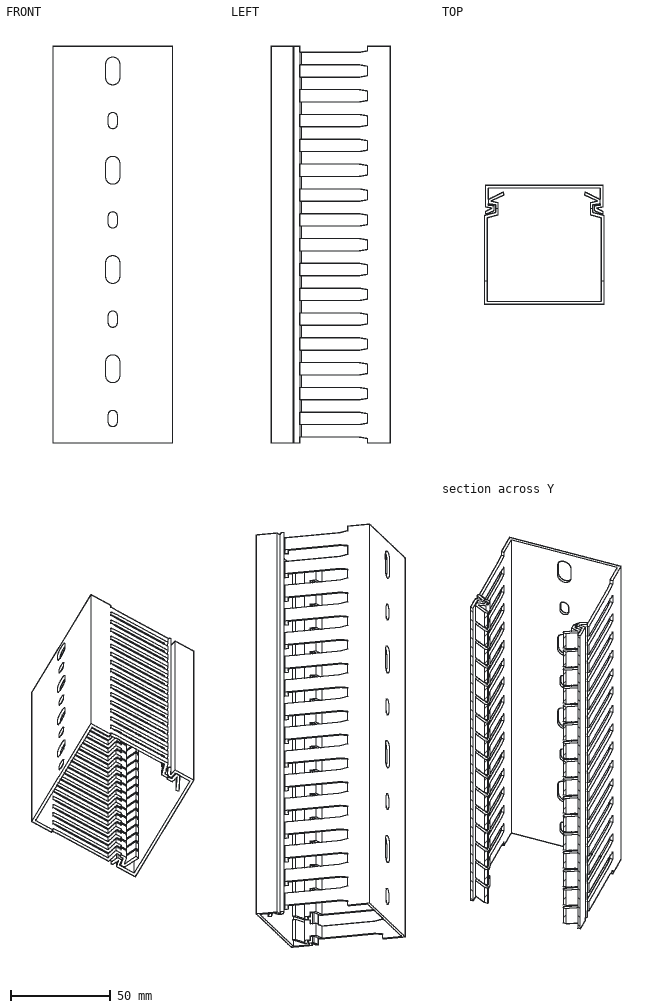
import cadquery as cq

LENGTH = 200.0
WIDTH = 60.2
COVER_WIDTH = 59.5
HEIGHT = 60.0
WALL = 1.5
BASE_HALF_WIDTH = WIDTH / 2
COVER_HALF_WIDTH = COVER_WIDTH / 2
BASE_INNER = BASE_HALF_WIDTH - WALL
COVER_INNER = COVER_HALF_WIDTH - WALL

RIM_WALL = 1.3
RIM_INNER = 23.2
RIM_OUTER = RIM_INNER + RIM_WALL
SHOULDER = 44.8
LOWER_ARM_DROP = 1.3
LOWER_ARM_RISE = 1.5
WEB_TOP = 51.2
UPPER_ARM_DROP = 1.2
BEND_OUTER = COVER_INNER
BEND_BOTTOM = 50.5
BEND_TOP = 52.8
BEND_INNER = 26.8
BEND_INNER_Y = 52.0
LIP_TIP = 20.2
LIP_TIP_BOTTOM = 55.0
TIP_SKEW = 0.5
LIP_TIP_TOP = 56.5

HOOK_TOP = 50.0
HOOK_UNDERSIDE = 49.0
HOOK_NOSE = 25.2
NOSE_TOP = 49.5
NOSE_BOTTOM = 46.8
NOSE_CHAMFER = 0.5
NOTCH_APEX = 26.5
NOTCH_APEX_Y = 48.5
HOOK_END_TOP = 46.8
HOOK_END_BOTTOM = 45.2
HOOK_END_ROUND = 0.7

FINGER_COUNT = 16
FINGER_PITCH = LENGTH / FINGER_COUNT
FINGER_WIDTH = 6.5
SLOT_HALF = (FINGER_PITCH - FINGER_WIDTH) / 2
SLOT_ROOT = 11.5
TAPER_LENGTH = 4.0
TAPER_DEPTH = 0.7
HEAD_WIDTH = 10.5
HEAD_BOTTOM = 48.2
HEAD_SLOT_HALF = (FINGER_PITCH - HEAD_WIDTH) / 2

MOUNT_COUNT = 8
MOUNT_PITCH = LENGTH / MOUNT_COUNT
LARGE_SLOT = (14.0, 7.2)
SMALL_SLOT = (8.2, 4.5)


def duct_profile():
    """U-shaped duct whose side walls end in an inward snap rim and a lead-in lip."""
    half = (
        cq.Workplane("XY")
        .polyline([
            (0, 0),
            (BASE_HALF_WIDTH, 0),
            (BASE_HALF_WIDTH, SHOULDER),
            (RIM_OUTER, SHOULDER + LOWER_ARM_RISE),
            (RIM_OUTER, WEB_TOP - UPPER_ARM_DROP),
            (BEND_OUTER, BEND_BOTTOM),
            (BEND_OUTER, BEND_TOP),
            (LIP_TIP + TIP_SKEW, LIP_TIP_TOP),
            (LIP_TIP, LIP_TIP_BOTTOM),
            (BEND_INNER, BEND_INNER_Y),
            (RIM_INNER, WEB_TOP),
            (RIM_INNER, SHOULDER - LOWER_ARM_DROP + LOWER_ARM_RISE),
            (BASE_INNER, SHOULDER - LOWER_ARM_DROP),
            (BASE_INNER, WALL),
            (0, WALL),
        ])
        .close()
        .extrude(LENGTH)
    )
    return half.union(half.mirror("YZ"))


def finger_slot(z):
    """One slot through both side walls, narrow between the heads and tapered at its bottom."""
    taper_top = SLOT_ROOT + TAPER_LENGTH
    root_half = SLOT_HALF - TAPER_DEPTH
    return (
        cq.Workplane("YZ", origin=(-BASE_HALF_WIDTH, 0, z))
        .polyline([
            (SLOT_ROOT, -root_half),
            (taper_top, -SLOT_HALF),
            (HEAD_BOTTOM, -SLOT_HALF),
            (HEAD_BOTTOM, -HEAD_SLOT_HALF),
            (HEIGHT, -HEAD_SLOT_HALF),
            (HEIGHT, HEAD_SLOT_HALF),
            (HEAD_BOTTOM, HEAD_SLOT_HALF),
            (HEAD_BOTTOM, SLOT_HALF),
            (taper_top, SLOT_HALF),
            (SLOT_ROOT, root_half),
        ])
        .close()
        .extrude(WIDTH)
    )


def mounting_slot(z, size):
    """One round-ended slot through the duct floor, long along Z."""
    length, width = size
    return (
        cq.Workplane("XZ", origin=(0, 0, z))
        .slot2D(length, width, 90)
        .extrude(-WALL)
    )


def make_duct():
    duct = duct_profile()
    for i in range(FINGER_COUNT + 1):
        duct = duct.cut(finger_slot(i * FINGER_PITCH))
    for i in range(MOUNT_COUNT):
        size = SMALL_SLOT if i % 2 == 0 else LARGE_SLOT
        duct = duct.cut(mounting_slot((i + 0.5) * MOUNT_PITCH, size))
    return duct


def make_cover():
    """Channel-shaped cover with an inward V hook along each edge."""
    hook_end = cq.selectors.BoxSelector(
        (NOTCH_APEX + HOOK_END_ROUND, 0, 0),
        (BASE_HALF_WIDTH, NOTCH_APEX_Y, LENGTH),
    )
    half = (
        cq.Workplane("XY")
        .polyline([
            (0, HEIGHT),
            (COVER_HALF_WIDTH, HEIGHT),
            (COVER_HALF_WIDTH, HOOK_UNDERSIDE),
            (NOTCH_APEX, NOTCH_APEX_Y),
            (COVER_HALF_WIDTH, HOOK_END_TOP),
            (COVER_HALF_WIDTH, HOOK_END_BOTTOM),
            (HOOK_NOSE + NOSE_CHAMFER, NOSE_BOTTOM),
            (HOOK_NOSE, NOSE_BOTTOM + NOSE_CHAMFER),
            (HOOK_NOSE, NOSE_TOP),
            (COVER_INNER, HOOK_TOP),
            (COVER_INNER, HEIGHT - WALL),
            (0, HEIGHT - WALL),
        ])
        .close()
        .extrude(LENGTH)
        .edges("|Z")
        .edges(hook_end)
        .fillet(HOOK_END_ROUND)
    )
    return half.union(half.mirror("YZ"))


duct = make_duct()
cover = make_cover()

result = cq.Compound.makeCompound([duct.val(), cover.val()])